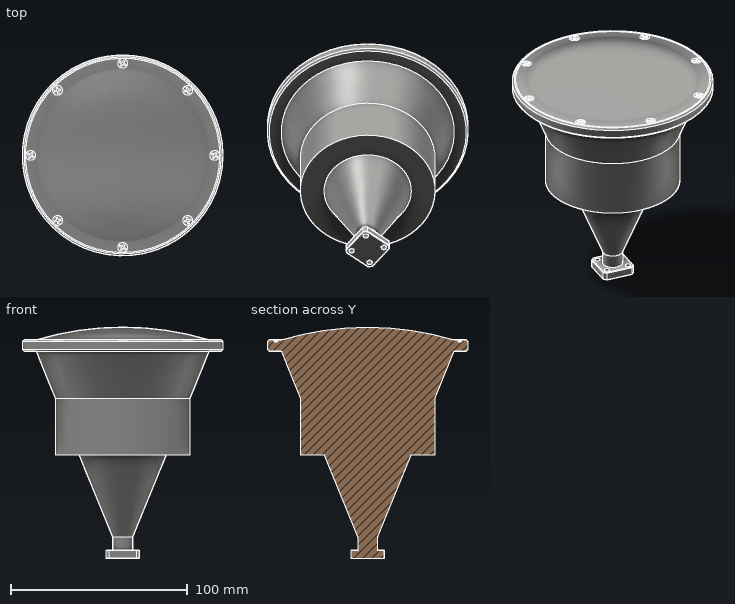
import cadquery as cq
import math

total_height = 131.15
rim_diameter = 113.79

flange_width = 19.05
flange_thickness = 4.9
flange_corner_chamfer = 1.75
flange_edge_chamfer = 0.3
flange_hole_diameter = 2.95
flange_hole_pitch = 13.0

neck_radius = 5.75
neck_top = 12.3
cone_top_radius = 24.7
barrel_radius = 38.2
barrel_bottom = 58.6
barrel_top = 90.8
flare_top_radius = 49.0

rim_radius = rim_diameter / 2
rim_bottom = 117.4
rim_top = 124.1
rim_chamfer = 1.1

cover_radius = 55.0
cover_recess = 0.1
cover_top = rim_top - cover_recess

dome_radius = 48.8

screw_count = 8
screw_circle_radius = 52.1
screw_head_diameter = 5.5
screw_head_recess = 0.1
drive_length = 3.6
drive_width = 0.85
drive_depth = 1.0
drive_angle = 60.0


def mounting_flange():
    """Square plate with chamfered corners and edges, and four through holes."""
    plate = (
        cq.Workplane("XY")
        .rect(flange_width, flange_width)
        .extrude(flange_thickness)
        .edges("|Z")
        .chamfer(flange_corner_chamfer)
        .faces("<Z or >Z")
        .edges()
        .chamfer(flange_edge_chamfer)
    )
    holes = (
        cq.Workplane("XY")
        .rect(flange_hole_pitch, flange_hole_pitch, forConstruction=True)
        .vertices()
        .circle(flange_hole_diameter / 2)
        .extrude(flange_thickness)
    )
    return plate.cut(holes)


def revolved_body():
    """Neck, cones, barrel, rim and dome as one revolved profile."""
    dome_height = total_height - cover_top
    sphere_radius = (dome_radius**2 + dome_height**2) / (2 * dome_height)
    mid_radius = dome_radius / 2
    sphere_center = total_height - sphere_radius
    dome_mid = (mid_radius, sphere_center + math.sqrt(sphere_radius**2 - mid_radius**2))
    return (
        cq.Workplane("XZ")
        .moveTo(0, flange_thickness)
        .lineTo(neck_radius, flange_thickness)
        .lineTo(neck_radius, neck_top)
        .lineTo(cone_top_radius, barrel_bottom)
        .lineTo(barrel_radius, barrel_bottom)
        .lineTo(barrel_radius, barrel_top)
        .lineTo(flare_top_radius, rim_bottom)
        .lineTo(rim_radius - rim_chamfer, rim_bottom)
        .lineTo(rim_radius, rim_bottom + rim_chamfer)
        .lineTo(rim_radius, rim_top - rim_chamfer)
        .lineTo(rim_radius - rim_chamfer, rim_top)
        .lineTo(cover_radius, rim_top)
        .lineTo(cover_radius, cover_top)
        .lineTo(dome_radius, cover_top)
        .threePointArc(dome_mid, (0, total_height))
        .close()
        .revolve(360, (0, 0, 0), (0, 1, 0))
    )


def screw_recess():
    """Shallow head recess with a cross drive, placed on the screw circle along +Y."""
    head_top = cover_top - screw_head_recess
    recess = (
        cq.Workplane("XY")
        .workplane(offset=head_top)
        .circle(screw_head_diameter / 2)
        .extrude(screw_head_recess)
    )
    for arm_angle in (drive_angle, drive_angle + 90):
        arm = (
            cq.Workplane("XY")
            .box(drive_length, drive_width, drive_depth, centered=(True, True, False))
            .rotate((0, 0, 0), (0, 0, 1), arm_angle)
            .translate((0, 0, head_top - drive_depth))
        )
        recess = recess.union(arm)
    return recess.translate((0, screw_circle_radius, 0))


result = revolved_body().union(mounting_flange())
for index in range(screw_count):
    turned_recess = screw_recess().rotate((0, 0, 0), (0, 0, 1), index * 360 / screw_count)
    result = result.cut(turned_recess)